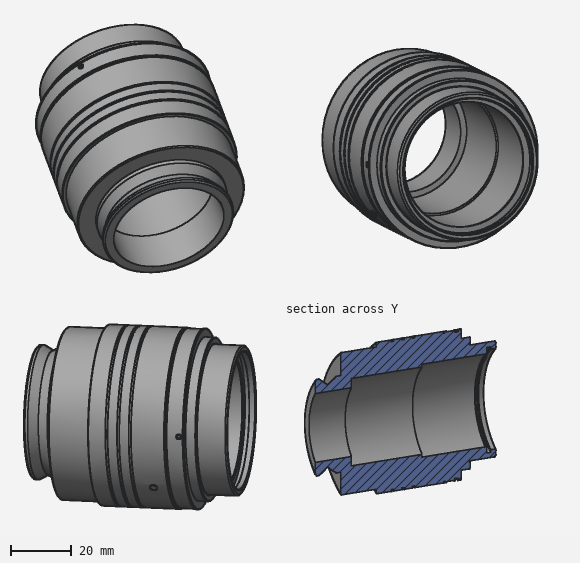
import cadquery as cq
total_length = 68.55
nose_length = 9.7
shoulder_end = 13.15
ring_end = 19.55
barrel_end = 45.45
rear_end = 59.0

nose_radius = 24.75
shoulder_radius = 27.0
rim_radius = 29.8
ring_radius = 29.6
barrel_radius = 29.855
rear_radius = 28.5
mount_radius = 44.4 / 2

nose_chamfer_length = 0.5
nose_chamfer_height = 0.6
shoulder_chamfer = 0.35

root_gap_radius = 25.0
root_gap_depth = 0.35

rim_chamfer = 0.2
rim_width = 0.55
barrel_chamfer = 0.3
rear_chamfer = 0.4
mount_chamfer = 0.55

parting_width = 0.2
parting_radius = 29.35

grip_groove_radius = 58.7 / 2
grip_groove_width = 0.75
grip_groove_start = 31.0
grip_groove_pitch = 3.9
grip_groove_count = 3
groove_cut_clearance = 0.7

vee_start = 60.5
vee_bottom = 63.9
vee_end = 67.1
vee_radius = 20.4

mouth_edge_radius = 46.05 / 2
mouth_radius = 45.2 / 2
mouth_chamfer_length = 0.2
relief_radius = 46.5 / 2
relief_start = 2.1
relief_end = 3.55

lip_radius = 41.8 / 2
lip_length = 0.6
chamber_radius = 21.6
chamber_end = 28.1
guide_radius = lip_radius
guide_end = 54.85
opening_radius = 37.55 / 2

screw_position = 15.0
screw_radius = 1.7 / 2
screw_top = 29.75
screw_base = 27.4
socket_radius = 1.15 / 2
socket_depth = 0.7
screw_count = 3

pin_position = 24.7
pin_radius = 2.5 / 2
pin_top = 30.15
pin_base = 27.4
pin_angle = -38.5


def outer_body():
    points = [
        (0, 0),
        (0, nose_radius - nose_chamfer_height),
        (nose_chamfer_length, nose_radius),
        (nose_length + root_gap_depth, nose_radius),
        (nose_length + root_gap_depth, root_gap_radius),
        (nose_length, root_gap_radius),
        (nose_length, shoulder_radius - shoulder_chamfer),
        (nose_length + shoulder_chamfer, shoulder_radius),
        (shoulder_end, shoulder_radius),
        (shoulder_end, rim_radius - rim_chamfer),
        (shoulder_end + rim_chamfer, rim_radius),
        (shoulder_end + rim_width, rim_radius),
        (shoulder_end + rim_width, ring_radius),
        (ring_end - rim_width, ring_radius),
        (ring_end - rim_width, rim_radius),
        (ring_end, rim_radius),
        (ring_end, parting_radius),
        (ring_end + parting_width, parting_radius),
        (ring_end + parting_width, barrel_radius - rim_chamfer),
        (ring_end + parting_width + rim_chamfer, barrel_radius),
        (barrel_end - barrel_chamfer, barrel_radius),
        (barrel_end, barrel_radius - barrel_chamfer),
        (barrel_end, rear_radius),
        (rear_end - rear_chamfer, rear_radius),
        (rear_end, rear_radius - rear_chamfer),
        (rear_end, mount_radius),
        (vee_start, mount_radius),
        (vee_bottom, vee_radius),
        (vee_end, mount_radius),
        (total_length - mount_chamfer, mount_radius),
        (total_length, mount_radius - mount_chamfer),
        (total_length, 0),
    ]
    return cq.Workplane("XY").polyline(points).close().revolve(360, (0, 0, 0), (1, 0, 0))


def bore():
    chamber_start = relief_end + lip_length
    points = [
        (0, 0),
        (0, mouth_edge_radius),
        (mouth_chamfer_length, mouth_radius),
        (relief_start, mouth_radius),
        (relief_start, relief_radius),
        (relief_end, relief_radius),
        (relief_end, lip_radius),
        (chamber_start, lip_radius),
        (chamber_start, chamber_radius),
        (chamber_end, chamber_radius),
        (chamber_end, guide_radius),
        (guide_end, guide_radius),
        (guide_end, opening_radius),
        (total_length, opening_radius),
        (total_length, 0),
    ]
    return cq.Workplane("XY").polyline(points).close().revolve(360, (0, 0, 0), (1, 0, 0))


def grip_groove(start):
    ring = cq.Workplane("YZ").workplane(offset=start)
    return ring.circle(barrel_radius + groove_cut_clearance).circle(grip_groove_radius).extrude(grip_groove_width)


def radial_cylinder(position, angle, radius, bottom, top):
    cylinder = cq.Workplane("XZ", origin=(position, bottom, 0)).circle(radius).extrude(bottom - top)
    return cylinder.rotate((0, 0, 0), (1, 0, 0), angle)


result = outer_body().cut(bore())

for index in range(grip_groove_count):
    result = result.cut(grip_groove(grip_groove_start + index * grip_groove_pitch))

for index in range(screw_count):
    screw_angle = index * 360 / screw_count
    screw = radial_cylinder(screw_position, screw_angle, screw_radius, screw_base, screw_top)
    socket = radial_cylinder(screw_position, screw_angle, socket_radius, screw_top - socket_depth, screw_top)
    result = result.union(screw).cut(socket)

result = result.union(radial_cylinder(pin_position, pin_angle, pin_radius, pin_base, pin_top))